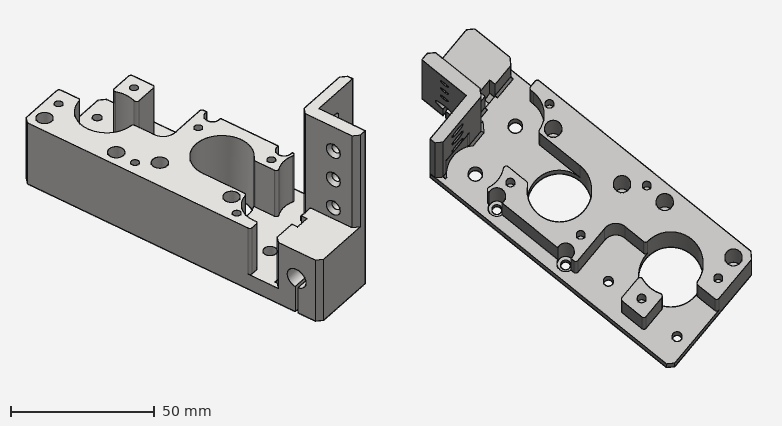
import cadquery as cq
import math

length = 128.5
depth = 46.4
height = 70.0
base_top = 7.0
body_top = 28.0
corner_chamfer = 2.0
edge_round = 1.0

motor_dia = 22.5
motor_pitch = 31.0
left_motor = (20.8, 21.1)
right_motor = (67.3, 25.6)
screw_dia = 3.5
screw_head_dia = 6.0
screw_seat = 4.0
pilot_dia = 3.1
pilot_depth = 10.0
pilot_points = [(4.8, 14.6), (20.8, 37.1), (44.8, 5.0), (51.5, 33.2), (82.2, 34.3), (89.5, 4.1)]

body_left = 46.5
body_back = 41.8
body_inner_round = 5.0
gap_back = 30.5
gap_front = right_motor[1] - motor_dia / 2
arm_end = 98.4
post_left, post_right, post_back = 15.5, 26.3, 42.1

shaft_x = 96.2
shaft_dia = 5.0
shaft_back_y = 36.5
shaft_front_y = 14.5
clearance_radius = 10.0

wall_left = 104.2
wall_inner = 108.5
wall_front = 21.6
wall_back = 26.6
wall_end = 46.5
wall_screw_y = 36.5
wall_screw_x = 118.3
wall_screw_count = 3
wall_screw_pitch = 13.0
wall_screw_low = 33.0
wall_sink_depth = 1.5
recess_top = 28.7
recess_round = 1.5

bore_dia = 8.1
bore_z = 15.5
slit_width = 1.2
nut_flats = 5.5
nut_thickness = 2.5
nut_y = 13.5
nut_z = 5.8
foot_bevel = 1.0

pad_width = 6.4
pad_reach = 0.6
nose_width = 5.3
nose_reach = 2.0
nose_drop = 0.5
nose_chamfer = 0.5


def box(x0, x1, y0, y1, z0, z1):
    """Axis-aligned block between the given limits."""
    return cq.Workplane("XY").box(x1 - x0, y1 - y0, z1 - z0, centered=False).translate((x0, y0, z0))


def upright(x, y, dia, z0, z1):
    """Vertical cylinder."""
    return cq.Workplane("XY", origin=(x, y, z0)).circle(dia / 2).extrude(z1 - z0)


def prism(points, z0, z1):
    """Vertical prism on a polygon."""
    return cq.Workplane("XY", origin=(0, 0, z0)).polyline(points).close().extrude(z1 - z0)


def square_pattern(centre):
    """Front pair, then back pair, of screw positions around a motor."""
    half = motor_pitch / 2
    return [(centre[0] + sx * half, centre[1] + sy * half) for sy in (-1, 1) for sx in (-1, 1)]


def make_base():
    """Floor plate with bevelled corners, open behind the wall."""
    plate = box(0, length, 0, depth, 0, base_top).edges("|Z").chamfer(corner_chamfer)
    return plate.cut(box(wall_inner, length, wall_back, depth, 0, base_top))


def make_body():
    """Raised body, with the pocket and shaft clearances taken out of its outline."""
    front_arc_y = shaft_front_y - clearance_radius
    block = box(0, arm_end, 0, body_back, base_top, body_top)
    corner = (
        box(0, body_left, left_motor[1], body_back, base_top, body_top)
        .edges("|Z and >X and <Y")
        .fillet(body_inner_round)
    )
    gap = box(right_motor[0], arm_end, gap_front, gap_back, base_top, body_top)
    step = box(shaft_x, arm_end, front_arc_y, gap_front, base_top, body_top)
    back_end = box(shaft_x - clearance_radius / 2, arm_end, gap_back, body_back, base_top, body_top)
    block = block.cut(corner).cut(gap).cut(step).cut(back_end)
    for y in (shaft_back_y, shaft_front_y):
        block = block.cut(upright(shaft_x, y, 2 * clearance_radius, base_top, body_top))
    post = box(post_left, post_right, left_motor[1], post_back, base_top, body_top)
    block = block.union(post)
    for x, y in (left_motor, right_motor):
        block = block.cut(upright(x, y, motor_dia, base_top, body_top))
    kept_sharp = [
        (body_left - body_inner_round, left_motor[1]),
        (body_left, left_motor[1] + body_inner_round),
        (right_motor[0], gap_front),
        (shaft_x, front_arc_y),
        (0, 0),
    ]
    rounded = [
        edge
        for edge in block.edges("|Z").vals()
        if all(math.dist((edge.Center().x, edge.Center().y), point) > edge_round for point in kept_sharp)
    ]
    block = block.newObject(rounded).fillet(edge_round)
    return block.intersect(box(0, length, 0, depth, 0, body_top).edges("|Z").chamfer(corner_chamfer))


def make_wall():
    """L wall standing on the base, with its outer corners bevelled."""
    c = corner_chamfer
    outline = [
        (wall_left, wall_front + c),
        (wall_left + c, wall_front),
        (length - c, wall_front),
        (length, wall_front + c),
        (length, wall_back),
        (wall_inner, wall_back),
        (wall_inner, wall_end),
        (wall_left + c, wall_end),
        (wall_left, wall_end - c),
    ]
    return prism(outline, base_top, height)


def make_block():
    """Clamp block, with bevels on its two front corners."""
    block = box(wall_inner, length, 0, wall_back, 0, body_top)
    return block.edges("|Z and <Y").chamfer(corner_chamfer)


def make_foot():
    """Bevel along the floor in front of the wall and the clamp block."""
    c = corner_chamfer
    outline = [
        (wall_inner, c),
        (length, c),
        (length, wall_end - c),
        (wall_left, wall_end - c),
        (wall_left, wall_front + c),
        (wall_left + c, wall_front),
        (wall_inner, wall_front),
    ]
    foot = cq.Workplane("XY", origin=(0, 0, base_top)).polyline(outline).close()
    foot = foot.offset2D(foot_bevel, "intersection").extrude(foot_bevel, taper=45)
    return foot.intersect(box(0, wall_inner, c, wall_end - c, 0, body_top))


def make_pad():
    """Stepped pad on the end of the base behind the side wall."""
    pad = box(0, pad_reach, -pad_width / 2, pad_width / 2, 0, base_top)
    nose = (
        box(0, nose_reach, -nose_width / 2, nose_width / 2, 0, base_top - nose_drop)
        .edges("|Z and >X")
        .chamfer(nose_chamfer)
    )
    return pad.union(nose).translate((wall_inner, shaft_back_y, 0))


def cut_recess(part):
    """Round shaft clearance in the side wall, with a rounded lip."""
    part = part.cut(upright(shaft_x, shaft_back_y, 2 * clearance_radius, base_top, recess_top))
    half = math.sqrt(clearance_radius**2 - (wall_left - shaft_x) ** 2)
    reach = 0.1
    lip = cq.selectors.BoxSelector(
        (wall_left - reach, shaft_back_y - half - reach, base_top + foot_bevel),
        (wall_left + reach, shaft_back_y + half + reach, recess_top + reach),
    )
    return part.edges(lip).fillet(recess_round)


def cut_wall_screws(part):
    """A row of countersunk holes through each leg of the wall."""
    shank = cq.Workplane("XY").circle(screw_dia / 2).extrude(wall_back - wall_front)
    sink = cq.Solid.makeCone(screw_head_dia / 2, screw_dia / 2, wall_sink_depth)
    tool = shank.union(cq.Workplane(sink))
    along_x = tool.rotate((0, 0, 0), (0, 1, 0), 90)
    along_y = tool.rotate((0, 0, 0), (1, 0, 0), -90)
    for i in range(wall_screw_count):
        z = wall_screw_low + i * wall_screw_pitch
        part = part.cut(along_x.translate((wall_left, wall_screw_y, z)))
        part = part.cut(along_y.translate((wall_screw_x, wall_front, z)))
    return part


def cut_motor_mounts(part):
    """Through pockets, screw holes with head seats, and blind pilot holes."""
    for x, y in (left_motor, right_motor):
        part = part.cut(upright(x, y, motor_dia, 0, body_top))
    screws = square_pattern(left_motor) + square_pattern(right_motor)
    plain = square_pattern(left_motor)[2:]
    for x, y in screws:
        part = part.cut(upright(x, y, screw_dia, 0, body_top))
        if (x, y) not in plain:
            part = part.cut(upright(x, y, screw_head_dia, screw_seat, body_top))
    for x, y in pilot_points:
        part = part.cut(upright(x, y, pilot_dia, body_top - pilot_depth, body_top))
    for y in (shaft_front_y, shaft_back_y):
        part = part.cut(upright(shaft_x, y, shaft_dia, 0, base_top))
    return part


def cut_clamp(part):
    """Rod bore along Y with its slit, and the hexagonal nut slot open to the top."""
    bore = cq.Workplane("XZ", origin=(wall_screw_x, 0, bore_z)).circle(bore_dia / 2).extrude(-wall_back)
    slit = box(wall_screw_x - slit_width / 2, wall_screw_x + slit_width / 2, 0, wall_back, 0, bore_z)
    corner_dia = nut_flats / math.cos(math.pi / 6)
    nut = (
        cq.Workplane("YZ", origin=(wall_inner, nut_y, nut_z))
        .transformed(rotate=(0, 0, 90))
        .polygon(6, corner_dia)
        .extrude(nut_thickness)
    )
    nut_side = nut_y - nut_flats / 2
    drop_in = box(wall_inner, wall_inner + nut_thickness, nut_side, nut_side + nut_flats, nut_z, body_top)
    foot_gap = box(wall_left, wall_inner, nut_side, nut_side + nut_flats, base_top, body_top)
    return part.cut(bore).cut(slit).cut(nut).cut(drop_in).cut(foot_gap)


result = make_base().union(make_body()).union(make_wall()).union(make_block())
result = cut_recess(result.union(make_foot())).union(make_pad())
result = cut_wall_screws(result)
result = cut_motor_mounts(result)
result = cut_clamp(result)